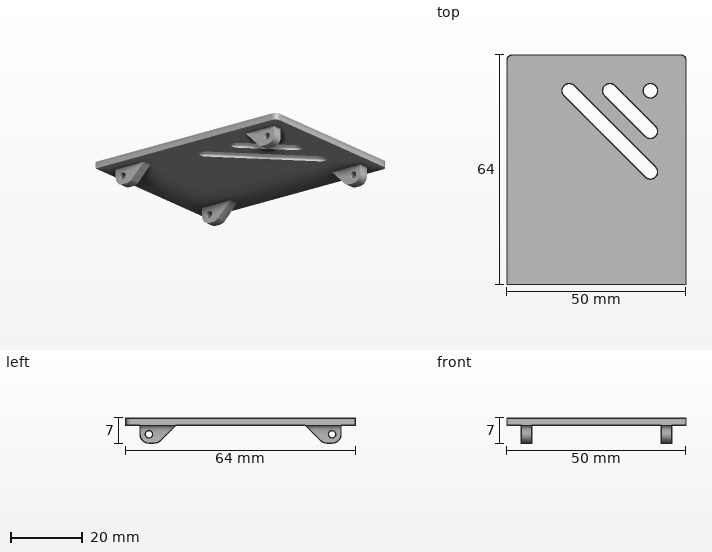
import cadquery as cq
import math

plate_width = 50.0
plate_length = 64.0
plate_thickness = 2.0
back_corner_radius = 1.5

opening_diameter = 4.0
opening_inset = 10.0
opening_spacing = 8.0
opening_step = opening_spacing * math.sqrt(2)
slot_count = 2

lug_inset = 4.0
lug_thickness = 3.0
lug_length = 10.0
lug_height = 5.0
lug_corner_radius = 2.5
pin_hole_diameter = 2.0


def make_plate():
    """Flat plate with its two back corners rounded."""
    plate = cq.Workplane("XY").box(
        plate_width, plate_length, plate_thickness, centered=(True, True, False)
    )
    return plate.edges("|Z and >Y").fillet(back_corner_radius)


def make_openings():
    """Round hole plus slots that cross the corner at 45 degrees, each longer than the last."""
    corner_x = plate_width / 2 - opening_inset
    corner_y = plate_length / 2 - opening_inset
    openings = (
        cq.Workplane("XY")
        .center(corner_x, corner_y)
        .circle(opening_diameter / 2)
        .extrude(plate_thickness)
    )
    for number in range(1, slot_count + 1):
        offset = number * opening_step
        overall_length = offset * math.sqrt(2) + opening_diameter
        slot = (
            cq.Workplane("XY")
            .center(corner_x - offset / 2, corner_y - offset / 2)
            .slot2D(overall_length, opening_diameter, angle=-45)
            .extrude(plate_thickness)
        )
        openings = openings.union(slot)
    return openings


def make_front_left_lug():
    """Lug with an upright outer edge, a 45 degree inner edge and rounded lower corners."""
    lug_plane = cq.Workplane("YZ", origin=(-plate_width / 2 + lug_inset, 0, 0))
    outer_y = -plate_length / 2 + lug_inset
    inner_y = outer_y + lug_length
    lug = (
        lug_plane.moveTo(inner_y, 0)
        .lineTo(outer_y, 0)
        .lineTo(outer_y, -lug_height)
        .lineTo(inner_y - lug_height, -lug_height)
        .close()
        .extrude(lug_thickness)
        .edges("|X and <Z")
        .fillet(lug_corner_radius)
    )
    pin_hole = (
        lug_plane.center(outer_y + lug_corner_radius, -lug_height + lug_corner_radius)
        .circle(pin_hole_diameter / 2)
        .extrude(lug_thickness)
    )
    return lug.cut(pin_hole)


def make_lugs():
    """Four lugs, mirrored across both centre planes of the plate."""
    front_left = make_front_left_lug()
    front_pair = front_left.union(front_left.mirror("YZ"))
    return front_pair.union(front_pair.mirror("XZ"))


result = make_plate().cut(make_openings()).union(make_lugs())